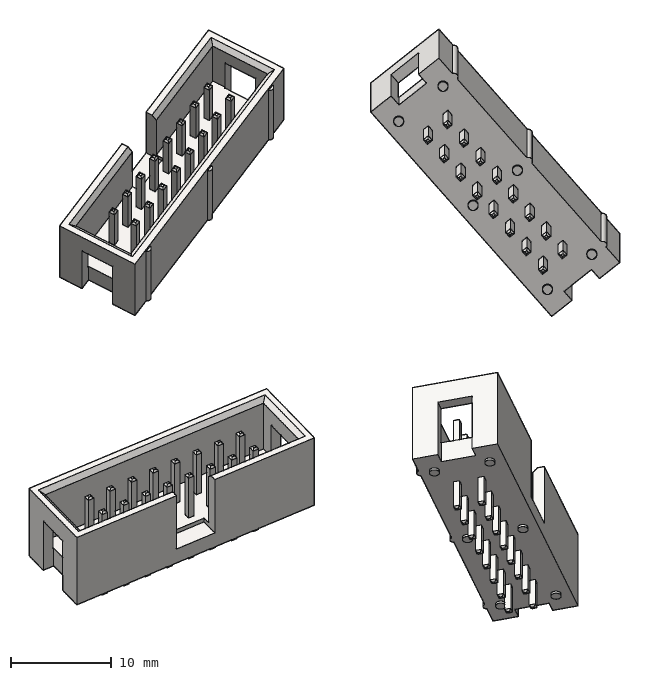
import cadquery as cq


length = 27.98
width = 8.8
height = 8.87
floor_top = 2.35

side_wall = 1.2
end_wall = 1.15
lead_in = 0.5

end_slot_width = 3.55
end_slot_top = 6.5
end_slot_depth = 1.23

notch_width = 4.5
notch_depth = 2.0
notch_bottom = 1.85

pins_per_row = 8
row_count = 2
row_length = 17.8
pin_pitch = row_length / (pins_per_row - 1)
pin_size = 0.65
pin_bottom = -3.22
pin_top = 7.78
tip_length = 0.2

station_pitch = 11.5
rib_depth = 0.28
rib_width = 0.78
rib_top = 8.53
standoff_diameter = 1.0
standoff_height = 0.25
standoff_spacing = 5.74

cavity_width = width - 2 * side_wall
cavity_length = length - 2 * end_wall


def block(size_x, size_y, bottom, top):
    """Box centred on the Z axis between two heights."""
    return cq.Workplane("XY").workplane(offset=bottom).rect(size_x, size_y).extrude(top - bottom)


def make_cavity():
    """Pocket above the floor, widened at its mouth by the lead-in."""
    pocket = block(cavity_width, cavity_length, floor_top, height)
    mouth = (
        cq.Workplane("XY")
        .workplane(offset=height - lead_in)
        .rect(cavity_width, cavity_length)
        .workplane(offset=lead_in)
        .rect(cavity_width + 2 * lead_in, cavity_length + 2 * lead_in)
        .loft(ruled=True)
    )
    return pocket.union(mouth)


def make_end_slot(side):
    """Slot through one end wall, open below; side is -1 or 1 along Y."""
    slot = block(end_slot_width, end_slot_depth, 0, end_slot_top)
    return slot.translate((0, side * (length - end_slot_depth) / 2, 0))


def make_notch():
    """Polarising notch, open at the top, cut slightly into the floor."""
    notch = block(notch_depth, notch_width, notch_bottom, height)
    return notch.translate(((notch_depth - width) / 2, 0, 0))


def make_pin():
    """Square pin with a tapered tip at each end."""
    post = block(pin_size, pin_size, pin_bottom, pin_top)
    return post.faces("<Z or >Z").chamfer(tip_length)


def make_rib():
    """Upright rib of rounded section on the +X wall."""
    wall = width / 2
    outline = (
        cq.Workplane("XY")
        .moveTo(wall, -rib_width / 2)
        .threePointArc((wall + rib_depth, 0), (wall, rib_width / 2))
        .close()
    )
    return outline.extrude(rib_top)


def make_standoffs():
    """Pair of round feet under the housing."""
    feet = cq.Workplane("XY").rarray(standoff_spacing, 0.28, 2, 1).circle(standoff_diameter / 2)
    return feet.extrude(-standoff_height)


result = block(width, length, 0, height).cut(make_cavity()).cut(make_notch())
for end in (-1, 1):
    result = result.cut(make_end_slot(end))

for station in (-station_pitch, 0, station_pitch):
    result = result.union(make_rib().translate((0, station, 0)))
    result = result.union(make_standoffs().translate((0, station, 0)))

pin = make_pin()
for row in range(row_count):
    pin_x = (row - (row_count - 1) / 2) * pin_pitch
    for place in range(pins_per_row):
        pin_y = (place - (pins_per_row - 1) / 2) * pin_pitch
        result = result.union(pin.translate((pin_x, pin_y, 0)))